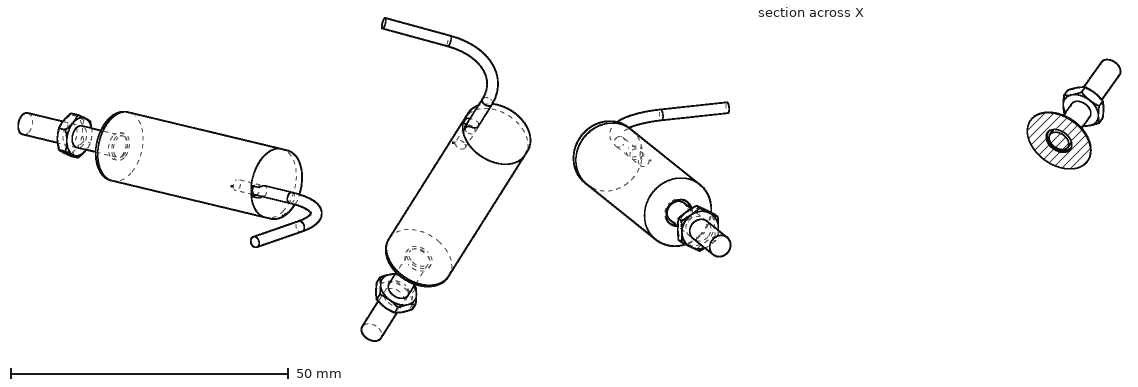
import cadquery as cq
import math


rod_diameter = 4.0
nut_width_across_flats = 7.0
nut_thickness = 2.2
nut_start = 10.45
nut_chamfer_angle = math.radians(30)

housing_diameter = 12.7
housing_start = 21.5
housing_length = 38.3
front_cap_thickness = 0.75
front_cap_bore = 5.0
rear_cap_thickness = 1.7
edge_fillet = 0.5

cable_diameter = 2.0
cable_offset = 4.95
cable_section = 12.7
tail_x = 78.98

pin_diameter = 0.2
pin_depth = 0.3

housing_radius = housing_diameter / 2
sleeve_start = housing_start + front_cap_thickness
housing_end = housing_start + housing_length
rear_cap_start = housing_end - rear_cap_thickness
sleeve_length = rear_cap_start - sleeve_start
bend_start_x = tail_x - cable_section
bend_end_y = -cable_offset - cable_section
lead_start_x = bend_start_x - cable_section


def cylinder_along_x(start, length, diameter, y=0):
    """Solid cylinder parallel to the main axis."""
    return cq.Workplane("YZ", origin=(start, y, 0)).circle(diameter / 2).extrude(length)


def make_rod():
    """Plain rod that passes through the front cap and ends on the sleeve."""
    return cylinder_along_x(0, sleeve_start, rod_diameter)


def make_nut():
    """Hexagon nut with corners up and down, its corners chamfered on both faces."""
    corner_diameter = nut_width_across_flats / math.cos(math.pi / 6)
    chamfer_width = (corner_diameter - nut_width_across_flats) / 2
    chamfer_height = chamfer_width * math.tan(nut_chamfer_angle)
    hexagon = (
        cq.Workplane("YZ", origin=(nut_start, 0, 0))
        .polygon(6, corner_diameter)
        .extrude(nut_thickness)
        .rotate((0, 0, 0), (1, 0, 0), 90)
    )
    envelope = (
        cylinder_along_x(nut_start, nut_thickness, corner_diameter)
        .faces("<X or >X")
        .edges()
        .chamfer(chamfer_height, chamfer_width)
    )
    bore = cylinder_along_x(nut_start, nut_thickness, rod_diameter)
    return hexagon.intersect(envelope).cut(bore)


def make_front_cap():
    """Disc with a rounded outer edge and a clearance bore around the rod."""
    cap = cylinder_along_x(housing_start, front_cap_thickness, housing_diameter)
    bore = cylinder_along_x(housing_start, front_cap_thickness, front_cap_bore)
    return cap.faces("<X").edges().fillet(edge_fillet).cut(bore)


def make_cable_lead():
    return cylinder_along_x(lead_start_x, cable_section, cable_diameter, -cable_offset)


def make_cable_bend():
    path = (
        cq.Workplane("XY")
        .moveTo(bend_start_x, -cable_offset)
        .radiusArc((tail_x, bend_end_y), cable_section)
    )
    profile = cq.Workplane("YZ", origin=(bend_start_x, -cable_offset, 0)).circle(cable_diameter / 2)
    return profile.sweep(path)


def make_cable_tail():
    profile = cq.Workplane("XZ", origin=(tail_x, bend_end_y, 0)).circle(cable_diameter / 2)
    return profile.extrude(cable_section)


def make_sleeve_blank():
    return cylinder_along_x(sleeve_start, sleeve_length, housing_diameter)


def make_marker_pin():
    """Radial pin on the -Y side whose outer end follows the sleeve's surface."""
    pin = (
        cq.Workplane("XZ", origin=(lead_start_x, pin_depth - housing_radius, 0))
        .circle(pin_diameter / 2)
        .extrude(pin_depth)
    )
    return pin.intersect(make_sleeve_blank())


def make_sleeve():
    """Solid cylinder with blind holes for the start of the cable lead and for the pin."""
    return make_sleeve_blank().cut(make_cable_lead()).cut(make_marker_pin())


def make_rear_cap():
    """Rounded end cap with a round-bottomed slot for the cable, open to -Y."""
    cap = cylinder_along_x(rear_cap_start, rear_cap_thickness, housing_diameter)
    cap = cap.faces(">X").edges().fillet(edge_fillet)
    slot_mouth = (
        cq.Workplane("XY", origin=(rear_cap_start, -cable_offset, 0))
        .box(rear_cap_thickness, housing_radius, cable_diameter, centered=(False, False, True))
        .translate((0, -housing_radius, 0))
    )
    return cap.cut(slot_mouth).cut(make_cable_lead())


result = cq.Compound.makeCompound([
    make_rod().val(),
    make_nut().val(),
    make_front_cap().val(),
    make_sleeve().val(),
    make_marker_pin().val(),
    make_rear_cap().val(),
    make_cable_lead().val(),
    make_cable_bend().val(),
    make_cable_tail().val(),
])